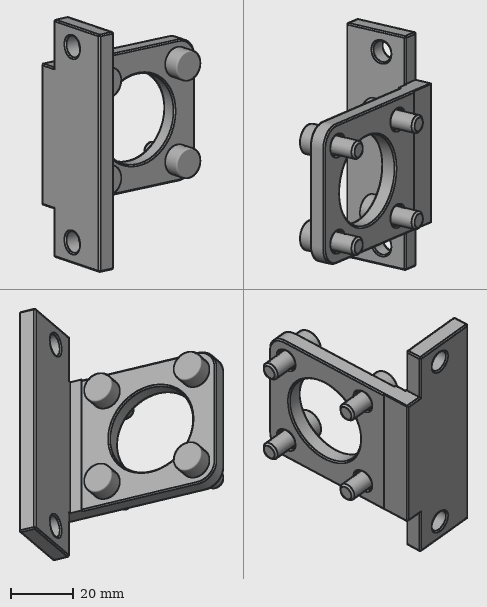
import cadquery as cq


overall_depth = 38.2

edge_break = 0.5

base_length = 79
base_thickness = 6.0
base_left = 6.4
base_right = 29.95
mount_hole_diameter = 7.0
mount_hole_x = 15.95
mount_hole_spacing = 65.0

plate_thickness = 5.8
plate_width = 47.0
plate_top = 58.5
plate_corner_radius = 6.55
bore_diameter = 30
bore_y = plate_top - plate_width / 2

root_offset = 0.25
root_top = 10.0
root_right = plate_thickness + root_offset
root_edge_break = edge_break - root_offset

screw_spacing = 32.5
screw_hole_diameter = 7.0
shank_diameter = 6.0
shank_tip_chamfer = 0.7
shank_projection = overall_depth - base_right
head_diameter = 10.0
head_height = 5.9
head_rim_radius = 0.55
neck_fillet = 0.25


def make_base():
    """Flat bar, chamfered on every edge, with chamfered mounting holes along Y."""
    bar = (
        cq.Workplane("XY")
        .box(base_right - base_left, base_thickness, base_length, centered=(False, False, True))
        .translate((base_left, 0, 0))
        .edges()
        .chamfer(edge_break)
    )
    for side in (-1, 1):
        centre = (mount_hole_x, 0, side * mount_hole_spacing / 2)
        bar = bar.cut(chamfered_hole(mount_hole_diameter, base_thickness, centre, (0, 1, 0)))
    return bar


def make_root():
    """L-shaped block: upright leg under the plate, foot running into the base."""
    foot_end = (base_left + base_right) / 2
    block = (
        cq.Workplane("XY")
        .moveTo(root_offset, 0)
        .lineTo(foot_end, 0)
        .lineTo(foot_end, base_thickness)
        .lineTo(root_right, base_thickness)
        .lineTo(root_right, root_top)
        .lineTo(root_offset, root_top)
        .close()
        .extrude(plate_width / 2, both=True)
    )
    block = block.faces("<Y").edges().chamfer(edge_break)
    block = block.faces("<X").edges("|Y").chamfer(root_edge_break)
    return block


def make_plate():
    """Upright plate with rounded top corners, chamfered outline and a chamfered bore."""
    plate = (
        cq.Workplane("XY")
        .box(plate_thickness, plate_top - root_top, plate_width, centered=(False, False, True))
        .translate((0, root_top, 0))
        .edges("|X and >Y")
        .fillet(plate_corner_radius)
    )
    plate = plate.faces("<X or >X").edges("not(<Y)").chamfer(edge_break)
    return plate.cut(chamfered_hole(bore_diameter, plate_thickness, (0, bore_y, 0), (1, 0, 0)))


def chamfered_hole(diameter, depth, start, direction):
    """Cutter for a through hole with a chamfer at both ends."""
    radius = diameter / 2
    mouth_radius = radius + edge_break
    origin = cq.Vector(*start)
    axis = cq.Vector(*direction)
    cutter = cq.Solid.makeCylinder(radius, depth, origin, axis)
    near = cq.Solid.makeCone(mouth_radius, radius, edge_break, origin, axis)
    far = cq.Solid.makeCone(mouth_radius, radius, edge_break, origin + axis * depth, axis * -1)
    return cq.Workplane(cutter.fuse(near, far))


def make_screw(y, z):
    """Cap screw turned about an axis along X, its head seated on the inner face of the plate."""
    shank_radius = shank_diameter / 2
    head_radius = head_diameter / 2
    tip = -shank_projection
    head_end = plate_thickness + head_height
    return (
        cq.Workplane("XY", origin=(0, y, z))
        .moveTo(tip, 0)
        .lineTo(tip, shank_radius - shank_tip_chamfer)
        .lineTo(tip + shank_tip_chamfer, shank_radius)
        .lineTo(plate_thickness - neck_fillet, shank_radius)
        .tangentArcPoint((plate_thickness, shank_radius + neck_fillet), relative=False)
        .lineTo(plate_thickness, head_radius)
        .lineTo(head_end - head_rim_radius, head_radius)
        .tangentArcPoint((head_end, head_radius - head_rim_radius), relative=False)
        .lineTo(head_end, 0)
        .close()
        .revolve(360, (0, 0, 0), (1, 0, 0))
    )


result = make_plate().union(make_root()).union(make_base())

for side_y in (-1, 1):
    for side_z in (-1, 1):
        screw_y = bore_y + side_y * screw_spacing / 2
        screw_z = side_z * screw_spacing / 2
        clearance = chamfered_hole(screw_hole_diameter, plate_thickness, (0, screw_y, screw_z), (1, 0, 0))
        result = result.cut(clearance).union(make_screw(screw_y, screw_z))